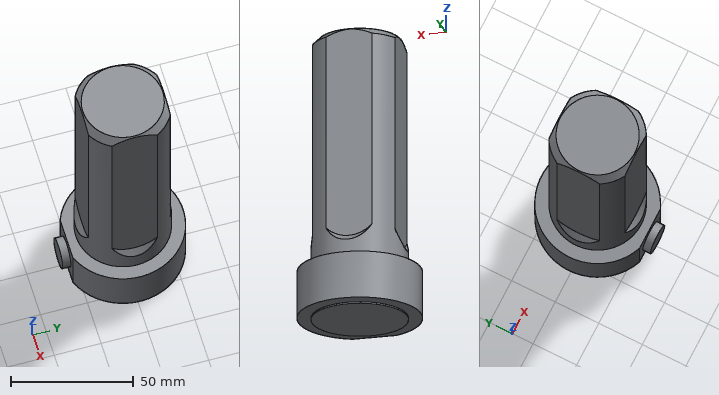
import cadquery as cq

lip_diameter = 39.98
lip_height = 0.65
flange_diameter = 51.5
flange_height = 20.0
flange_flat_offset = 24.0
pin_diameter = 13.0
pin_tip_offset = 27.5
pin_height_on_flange = 9.7
shank_diameter = 40.0
shank_length = 100.0
tip_chamfer = 3.0
across_flats = 34.9
flat_start_on_flange = 30.0
runout_radius = 13.5
flat_count = 4

flange_bottom = lip_height
flange_top = flange_bottom + flange_height
shank_top = flange_top + shank_length


def make_flange():
    """Disc with one flat on its -Y side."""
    disc = (
        cq.Workplane("XY")
        .workplane(offset=flange_bottom)
        .circle(flange_diameter / 2)
        .extrude(flange_height)
    )
    beyond_flat = (
        cq.Workplane("XY")
        .box(flange_diameter, flange_diameter, flange_height, centered=(True, False, False))
        .translate((0, -flange_flat_offset - flange_diameter, flange_bottom))
    )
    return disc.cut(beyond_flat)


def make_lip():
    """Shallow locating lip under the flange."""
    return cq.Workplane("XY").circle(lip_diameter / 2).extrude(lip_height)


def make_pin():
    """Round pin standing out of the flange flat."""
    return (
        cq.Workplane("XZ", origin=(0, 0, flange_bottom + pin_height_on_flange))
        .workplane(offset=flange_flat_offset)
        .circle(pin_diameter / 2)
        .extrude(pin_tip_offset - flange_flat_offset)
    )


def make_flat_cutter():
    """Material removed for the -Y flat: a slab ending below in a 45 degree conical run-out."""
    flat_offset = across_flats / 2
    cut_depth = shank_diameter / 2 - flat_offset
    runout_center = flange_bottom + flat_start_on_flange + runout_radius
    cone = cq.Workplane(
        cq.Solid.makeCone(
            runout_radius,
            runout_radius + cut_depth,
            cut_depth,
            pnt=cq.Vector(0, -flat_offset, runout_center),
            dir=cq.Vector(0, -1, 0),
        )
    )
    slab = (
        cq.Workplane("XY")
        .box(2 * runout_radius, cut_depth, shank_top - runout_center, centered=(True, False, False))
        .translate((0, -shank_diameter / 2, runout_center))
    )
    return slab.union(cone)


def make_shank():
    """Round shank with a chamfered tip and evenly spaced flats."""
    shank = (
        cq.Workplane("XY")
        .workplane(offset=flange_top)
        .circle(shank_diameter / 2)
        .extrude(shank_length)
        .faces(">Z")
        .chamfer(tip_chamfer)
    )
    cutter = make_flat_cutter()
    for index in range(flat_count):
        angle = index * 360 / flat_count
        shank = shank.cut(cutter.rotate((0, 0, 0), (0, 0, 1), angle))
    return shank


result = make_flange().union(make_lip()).union(make_pin()).union(make_shank())